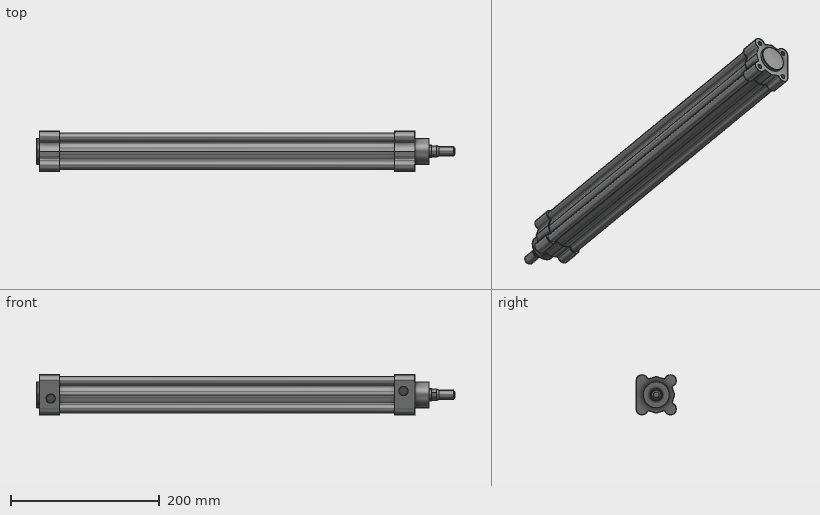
import cadquery as cq
import math

BOSS_LENGTH = 4.0
CAP_LENGTH = 27.0
FRONT_CAP_START = 482.0
NECK_LENGTH = 19.0
WIPER_END = 531.5
COLLAR_END = 538.0
TOTAL_LENGTH = 563

BACK_CAP_START = BOSS_LENGTH
BARREL_START = BACK_CAP_START + CAP_LENGTH
FRONT_CAP_END = FRONT_CAP_START + CAP_LENGTH
NECK_END = FRONT_CAP_END + NECK_LENGTH

CAP_WIDTH = 54.0
CAP_LOBE_RADIUS = 8.0
CAP_CORE_RADIUS = 23.5
CAP_VALLEY_RADIUS = 2.0
CAP_RIDGE_SLOPE = 17
BARREL_WIDTH = 49.5
BARREL_LOBE_RADIUS = 6.0
BARREL_CORE_RADIUS = 22.5
BARREL_VALLEY_RADIUS = 1.5
BARREL_RIDGE_SLOPE = 11
PILOT_RADIUS = 17.5
PILOT_CHAMFER = 0.5
WIPER_RADIUS = 8.5

SCREW_HOLE_RADIUS = 3.0
SCREW_HOLE_DEPTH = 11
PORT_RADIUS = 6.0
PORT_DEPTH = 11
PORT_INSET = 15.0
PORT_OFFSET = 5.0

ROD_RADIUS = 8.0
FLAT_DISTANCE = 7.5
TAPER_LENGTH = 3.5
THREAD_RADIUS = 6.0
THREAD_CHAMFER = 2.0

SIDES = (-1, 1)


def x_cylinder(radius, start, end):
    """A cylinder on the X axis between two stations."""
    return cq.Workplane("YZ", origin=(start, 0, 0)).circle(radius).extrude(end - start)


def corners(distance):
    """The four (Y, Z) points at the same distance from both centre planes."""
    return [(y * distance, z * distance) for y in SIDES for z in SIDES]


def valley_points(lobe_offset, lobe_radius, core_radius):
    """The eight (Y, Z) points where the circles of the lobes cross the circle of the core."""
    reach = lobe_offset * math.sqrt(2)
    along = (reach**2 + core_radius**2 - lobe_radius**2) / (2 * reach)
    turn = math.acos(along / core_radius)
    diagonals = [math.radians(45 + 90 * quarter) for quarter in range(4)]
    angles = [diagonal + side * turn for diagonal in diagonals for side in SIDES]
    return [(core_radius * math.cos(angle), core_radius * math.sin(angle)) for angle in angles]


def lobed_bar(start, end, width, lobe_radius, core_radius, ridge_slope, valley_radius):
    """A bar with a round core, a round lobe at each corner and a shallow ridge along each side.

    The two flats of a ridge are tangent to the core.
    """
    length = end - start
    section = cq.Workplane("YZ", origin=(start, 0, 0))
    slope = math.radians(ridge_slope)
    foot = core_radius * math.sin(slope)
    foot_height = core_radius * math.cos(slope)
    ridge_height = core_radius / math.cos(slope)
    ridge = section.polyline([(0, 0), (foot, foot_height), (0, ridge_height), (-foot, foot_height)])
    ridge = ridge.close().extrude(length)

    bar = x_cylinder(core_radius, start, end)
    for quarter in range(4):
        bar = bar.union(ridge.rotate((0, 0, 0), (1, 0, 0), 90 * quarter))
    lobe_offset = width / 2 - lobe_radius
    lobes = section.pushPoints(corners(lobe_offset)).circle(lobe_radius).extrude(length)
    bar = bar.union(lobes)

    middle = (start + end) / 2
    for y, z in valley_points(lobe_offset, lobe_radius, core_radius):
        bar = bar.edges(cq.selectors.NearestToPointSelector((middle, y, z))).fillet(valley_radius)
    return bar


def make_cap(start, port_x, port_z):
    """A lobed end cap with a flat -Y side that carries a blind air port."""
    cap = lobed_bar(
        start,
        start + CAP_LENGTH,
        CAP_WIDTH,
        CAP_LOBE_RADIUS,
        CAP_CORE_RADIUS,
        CAP_RIDGE_SLOPE,
        CAP_VALLEY_RADIUS,
    )
    half_width = CAP_WIDTH / 2
    pad_height = CAP_WIDTH - 2 * CAP_LOBE_RADIUS
    pad = cq.Workplane("XY").box(CAP_LENGTH, half_width, pad_height, centered=(False, False, True))
    cap = cap.union(pad.translate((start, -half_width, 0)))
    port_face = cq.Workplane("XZ", origin=(port_x, -half_width, port_z))
    port = port_face.circle(PORT_RADIUS).extrude(-PORT_DEPTH)
    return cap.cut(port)


def make_back_cap():
    """The closed cap with its pilot boss and four screw holes."""
    cap = make_cap(BACK_CAP_START, BACK_CAP_START + PORT_INSET, -PORT_OFFSET)
    boss = x_cylinder(PILOT_RADIUS, 0, BACK_CAP_START).faces("<X").chamfer(PILOT_CHAMFER)
    holes = (
        cq.Workplane("YZ", origin=(BACK_CAP_START, 0, 0))
        .pushPoints(corners(CAP_WIDTH / 2 - CAP_LOBE_RADIUS))
        .circle(SCREW_HOLE_RADIUS)
        .extrude(SCREW_HOLE_DEPTH)
    )
    return cap.union(boss).cut(holes)


def make_front_cap():
    """The cap with the neck and wiper lip that the piston rod passes through."""
    cap = make_cap(FRONT_CAP_START, FRONT_CAP_END - PORT_INSET, PORT_OFFSET)
    neck = x_cylinder(PILOT_RADIUS, FRONT_CAP_END, NECK_END)
    wiper_lip = x_cylinder(WIPER_RADIUS, NECK_END, WIPER_END)
    rod_bore = x_cylinder(ROD_RADIUS, FRONT_CAP_START, WIPER_END)
    return cap.union(neck).union(wiper_lip).cut(rod_bore)


def make_barrel():
    """The profiled barrel between the caps."""
    return lobed_bar(
        BARREL_START,
        FRONT_CAP_START,
        BARREL_WIDTH,
        BARREL_LOBE_RADIUS,
        BARREL_CORE_RADIUS,
        BARREL_RIDGE_SLOPE,
        BARREL_VALLEY_RADIUS,
    )


def make_rod():
    """The piston rod with two wrench flats, a taper and a thinner threaded end."""
    shank = x_cylinder(ROD_RADIUS, FRONT_CAP_START, COLLAR_END)
    flat_length = COLLAR_END - WIPER_END
    for side in SIDES:
        flat = cq.Workplane("XY").box(flat_length, ROD_RADIUS, 2 * ROD_RADIUS, centered=(False, True, True))
        shank = shank.cut(flat.translate((WIPER_END, side * (FLAT_DISTANCE + ROD_RADIUS / 2), 0)))
    taper = (
        cq.Workplane("YZ", origin=(COLLAR_END, 0, 0))
        .circle(ROD_RADIUS)
        .workplane(offset=TAPER_LENGTH)
        .circle(THREAD_RADIUS)
        .loft()
    )
    thread = x_cylinder(THREAD_RADIUS, COLLAR_END + TAPER_LENGTH, TOTAL_LENGTH)
    thread = thread.faces(">X").chamfer(THREAD_CHAMFER)
    return shank.union(taper).union(thread)


back_cap = make_back_cap()
barrel = make_barrel()
front_cap = make_front_cap()
rod = make_rod()

result = cq.Compound.makeCompound([back_cap.val(), barrel.val(), front_cap.val(), rod.val()])